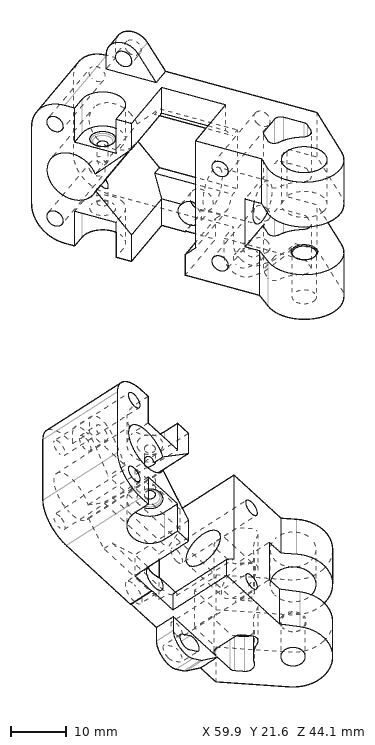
import cadquery as cq
import math


length = 59.9
depth = 17.5
height = 29.95
mid_z = height / 2
end_radius = 6.6
base_pad_length = 24.6
base_pad_thickness = 0.2

arm_radius = 7.15
pivot_x = length - arm_radius
pivot_y = 3.05
back_slope_angle = 45.0
upper_heel_angle = 45.0
lower_heel_angle = 40.0
upper_bore = 8.2
lower_bore = 4.4
lower_bore_chamfer = 0.2
fork_root_x = 42.5
fork_gap = 10.4

pocket_back_y = 13.55
pocket_diagonal_offset = 4.2
pocket_fillet = 1.2
pocket_tip_fillet = 1.6

jaw_end_x = 19.9
opening_right_x = 32.6
opening_front_height = 18.7
back_wall = 4.9
window_taper = 2.95
throat_x = 12.75
throat_gap = 3.7
ledge_width = 2.05
ledge_height = 4.5

clamp_x = 8.1
clamp_bore = 9.95
clamp_z = 14.85
screw_hole = 3.25
clamp_screw_x = 4.7
arm_screw_x = 37.5
screw_spacing = 20.6
cable_hole = 8.0
cable_hole_y = 7.2
access_hole = 4.7
access_x = 25.45
access_z = 3.95

seat_x = 12.7
seat_y = pivot_y
seat_diameter = 8.2
seat_depth = 7.45
insert_mouth = 4.7
insert_neck = 4.2
insert_bore = 3.6
insert_step = 0.25
pilot_hole = 2.0
cone_depth = 0.65

ear_thickness = 3.95
ear_radius = 3.5
upper_ear_x = 11.85
upper_ear_rise = 3.25
upper_ear_toe_x = 18.35
lower_ear_x = 35.3
lower_ear_drop = 3.85
lower_slot_run = 2.15
lower_slot_rise = 1.5
lower_ear_toe_x = 44.15


def polar(center, radius, degrees):
    """Point on a circle."""
    angle = math.radians(degrees)
    return (center[0] + radius * math.cos(angle), center[1] + radius * math.sin(angle))


def prism_along_y(sketch_xz, y_start, y_end):
    """Extrude a function that draws on an XZ workplane from y_start to y_end."""
    plane = cq.Workplane("XZ", origin=(0, y_start, 0))
    return sketch_xz(plane).extrude(y_start - y_end)


def arm_layer(heel_angle, z_start, z_end):
    """Block and arm outline in XY, with the arm heel sloping at heel_angle."""
    pivot = (pivot_x, pivot_y)
    back_tangent = polar(pivot, arm_radius, 90 - back_slope_angle)
    heel_tangent = polar(pivot, arm_radius, 270 - heel_angle)
    back_run = (depth - back_tangent[1]) / math.tan(math.radians(back_slope_angle))
    heel_run = -heel_tangent[1] / math.tan(math.radians(heel_angle))
    return (
        cq.Workplane("XY", origin=(0, 0, z_start))
        .moveTo(0, 0)
        .lineTo(0, depth)
        .lineTo(back_tangent[0] - back_run, depth)
        .lineTo(*back_tangent)
        .threePointArc(polar(pivot, arm_radius, -45), heel_tangent)
        .lineTo(heel_tangent[0] - heel_run, 0)
        .close()
        .extrude(z_end - z_start)
    )


def blank():
    """Forked block with a rounded clamp end."""
    body = arm_layer(lower_heel_angle, 0, mid_z).union(arm_layer(upper_heel_angle, mid_z, height))
    pad = cq.Workplane("XY").box(base_pad_length, depth, base_pad_thickness, centered=False)
    body = body.union(pad.translate((0, 0, -base_pad_thickness))).clean()
    body = body.edges("|Y and <X").fillet(end_radius)
    fork = cq.Workplane("XY").box(length, 4 * depth, fork_gap, centered=(False, True, True))
    return body.cut(fork.translate((fork_root_x, 0, mid_z)))


def arm_pocket():
    """Rounded pocket hugging the pivot, symmetric about the 45 degree line through it."""
    pivot = (pivot_x, pivot_y)
    spread = math.degrees(math.acos(pocket_diagonal_offset / arm_radius))
    back_corner = polar(pivot, arm_radius, 45 + spread)
    front_corner = polar(pivot, arm_radius, 225 - spread)
    back_sum = sum(back_corner)
    front_sum = sum(front_corner)
    pocket = (
        cq.Workplane("XY")
        .moveTo(fork_root_x, pocket_back_y)
        .lineTo(back_sum - pocket_back_y, pocket_back_y)
        .lineTo(*back_corner)
        .threePointArc(polar(pivot, arm_radius, 135), front_corner)
        .lineTo(fork_root_x, front_sum - fork_root_x)
        .close()
        .extrude(height)
    )
    pocket = pocket.edges("|Z and >X").fillet(pocket_tip_fillet)
    remaining_limit = (back_sum - pocket_back_y + pocket_fillet / 2, depth, height)
    sharp_corners = cq.selectors.BoxSelector((0, 0, 0), remaining_limit)
    return pocket.edges("|Z").edges(sharp_corners).fillet(pocket_fillet)


def pivot_bores():
    upper = cq.Workplane("XY", origin=(pivot_x, pivot_y, mid_z)).circle(upper_bore / 2).extrude(mid_z)
    lower = cq.Workplane("XY", origin=(pivot_x, pivot_y, 0)).circle(lower_bore / 2).extrude(mid_z)
    mouth_z = mid_z - fork_gap / 2
    mouth = cq.Workplane("XY").add(
        cq.Solid.makeCone(
            lower_bore / 2,
            lower_bore / 2 + lower_bore_chamfer,
            lower_bore_chamfer,
            pnt=cq.Vector(pivot_x, pivot_y, mouth_z - lower_bore_chamfer),
        )
    )
    return upper.union(lower).union(mouth)


def opening():
    """V throat widening into the open middle, narrowing to a tapered window in the back wall."""
    half_front = opening_front_height / 2
    slope = (half_front - throat_gap / 2) / (jaw_end_x - throat_x)
    apex_x = throat_x - throat_gap / 2 / slope
    ledge_x = opening_right_x - ledge_width
    outline = [
        (apex_x, mid_z),
        (jaw_end_x, mid_z + half_front),
        (jaw_end_x, height),
        (opening_right_x, height),
        (opening_right_x, ledge_height + ledge_width),
        (ledge_x, ledge_height),
        (ledge_x, -base_pad_thickness),
        (jaw_end_x, -base_pad_thickness),
        (jaw_end_x, mid_z - half_front),
    ]
    front_prism = prism_along_y(lambda plane: plane.polyline(outline).close(), 0, depth)

    wall_y = depth - back_wall
    taper_end_y = wall_y + window_taper
    half_back = half_front - window_taper
    side_profile = [
        (0, -base_pad_thickness),
        (wall_y, -base_pad_thickness),
        (wall_y, mid_z - half_front),
        (taper_end_y, mid_z - half_back),
        (depth, mid_z - half_back),
        (depth, mid_z + half_back),
        (taper_end_y, mid_z + half_back),
        (wall_y, mid_z + half_front),
        (wall_y, height),
        (0, height),
    ]
    side_prism = cq.Workplane("YZ").polyline(side_profile).close().extrude(length)
    return front_prism.intersect(side_prism)


def front_holes():
    """Clamp bore, four screw holes and the access hole, all running front to back."""
    holes = [(clamp_x, clamp_z, clamp_bore), (access_x, access_z, access_hole)]
    for x in (clamp_screw_x, arm_screw_x):
        for side in (-1, 1):
            holes.append((x, mid_z + side * screw_spacing / 2, screw_hole))
    cutter = cq.Workplane("XY")
    for x, z, diameter in holes:
        cutter = cutter.union(prism_along_y(lambda p: p.center(x, z).circle(diameter / 2), 0, depth))
    return cutter


def cable_bore():
    plane = cq.Workplane("YZ", origin=(opening_right_x, cable_hole_y, mid_z))
    return plane.circle(cable_hole / 2).extrude(fork_root_x - opening_right_x)


def upper_seat():
    """Seat open to the front, with a stepped insert hole that ends in the clamp bore."""
    floor_z = height - seat_depth
    cut_height = seat_depth + base_pad_thickness
    seat = (
        cq.Workplane("XY", origin=(seat_x, seat_y, floor_z))
        .circle(seat_diameter / 2)
        .extrude(cut_height)
    )
    front_relief = cq.Workplane("XY").box(seat_diameter, seat_y, cut_height, (True, False, False))
    seat = seat.union(front_relief.translate((seat_x, 0, floor_z)))

    bore_z = -2 * insert_step
    pilot_z = bore_z - cone_depth
    clamp_axis_z = mid_z - floor_z
    hole_profile = [
        (0, 0),
        (insert_mouth / 2, 0),
        (insert_neck / 2, -insert_step),
        (insert_bore / 2, bore_z),
        (pilot_hole / 2, pilot_z),
        (pilot_hole / 2, clamp_axis_z),
        (0, clamp_axis_z),
    ]
    hole = cq.Workplane("XZ").polyline(hole_profile).close().revolve(360, (0, 0), (0, 1))
    return seat.union(hole.translate((seat_x, seat_y, floor_z)))


def tangent_angle(center, point, side):
    """Angle on an ear circle where the tangent from an outside point touches; side is 1 or -1."""
    dx = point[0] - center[0]
    dz = point[1] - center[1]
    half_spread = math.acos(ear_radius / math.hypot(dx, dz))
    return math.degrees(math.atan2(dz, dx) + side * half_spread)


def upper_ear():
    center = (upper_ear_x, height + upper_ear_rise)
    toe = (upper_ear_toe_x, height)
    tangent = polar(center, ear_radius, tangent_angle(center, toe, 1))

    def outline(plane):
        return (
            plane.moveTo(center[0] - ear_radius, height - ear_radius)
            .lineTo(center[0] - ear_radius, center[1])
            .threePointArc(polar(center, ear_radius, 90), tangent)
            .lineTo(*toe)
            .lineTo(toe[0], height - ear_radius)
            .close()
        )

    ear = prism_along_y(outline, depth - ear_thickness, depth)
    hole = prism_along_y(lambda p: p.center(*center).circle(screw_hole / 2), 0, depth)
    return ear.cut(hole)


def lower_ear():
    first = (lower_ear_x, -lower_ear_drop)
    second = (first[0] + lower_slot_run, first[1] + lower_slot_rise)
    toe = (lower_ear_toe_x, 0)
    slot_angle = math.degrees(math.atan2(lower_slot_rise, lower_slot_run))
    last_angle = tangent_angle(second, toe, -1)
    side_angle = slot_angle - 90

    def outline(plane):
        return (
            plane.moveTo(first[0] - ear_radius, ear_radius)
            .lineTo(first[0] - ear_radius, first[1])
            .threePointArc(polar(first, ear_radius, -90), polar(first, ear_radius, side_angle))
            .lineTo(*polar(second, ear_radius, side_angle))
            .threePointArc(
                polar(second, ear_radius, (side_angle + last_angle) / 2),
                polar(second, ear_radius, last_angle),
            )
            .lineTo(*toe)
            .lineTo(toe[0], ear_radius)
            .close()
        )

    ear = prism_along_y(outline, depth - ear_thickness, depth)
    slot_length = math.hypot(lower_slot_run, lower_slot_rise) + screw_hole
    middle = ((first[0] + second[0]) / 2, (first[1] + second[1]) / 2)
    slot = prism_along_y(lambda p: p.center(*middle).slot2D(slot_length, screw_hole, slot_angle), 0, depth)
    return ear.cut(slot)


seat = upper_seat()
result = (
    blank()
    .union(upper_ear())
    .union(lower_ear())
    .cut(opening())
    .cut(arm_pocket())
    .cut(pivot_bores())
    .cut(front_holes())
    .cut(cable_bore())
    .cut(seat)
    .cut(seat.mirror("XY", (0, 0, mid_z)))
)